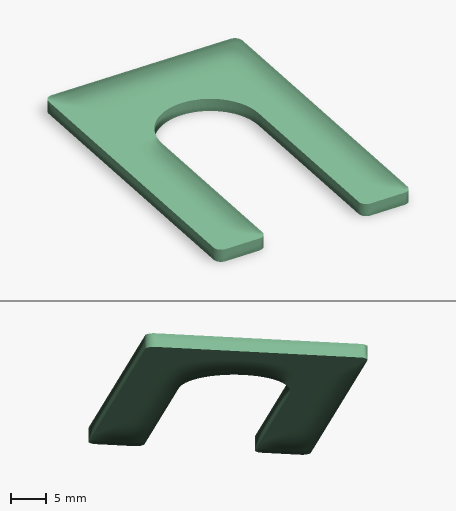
import cadquery as cq

length = 47.75
width = 31.75
thickness = 2.0
corner_radius = 1.25

slot_width = 15.75
back_width = 11.15

slot_radius = slot_width / 2
slot_center_x = back_width + slot_radius
half_width = width / 2

outline = (
    cq.Workplane("XY")
    .moveTo(0, -half_width)
    .lineTo(length, -half_width)
    .lineTo(length, -slot_radius)
    .lineTo(slot_center_x, -slot_radius)
    .threePointArc((back_width, 0), (slot_center_x, slot_radius))
    .lineTo(length, slot_radius)
    .lineTo(length, half_width)
    .lineTo(0, half_width)
    .close()
)
plate = outline.extrude(thickness)

back_corners = plate.edges("|Z and <X")
plate = back_corners.fillet(corner_radius)
prong_corners = plate.edges("|Z and >X")
result = prong_corners.fillet(corner_radius)